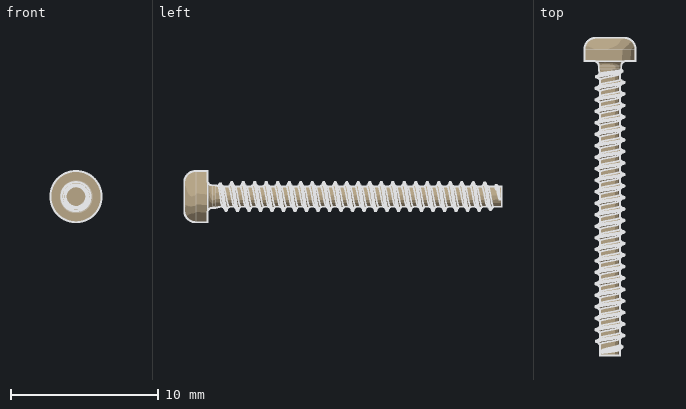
import cadquery as cq
import math

total_length = 21.6
head_diameter = 3.5
head_height = 1.6
head_edge_radius = head_height / 2
shank_length = total_length - head_height

core_radius = 0.7
neck_radius = 0.78
flare = 0.3
neck_depth = 0.52
core_start_depth = 0.9

thread_radius = 1.0
first_full_depth = 1.45
full_turns = 22
full_thread_length = 17.2
pitch = full_thread_length / full_turns
runout_turns = 1.6
crest_half_width = 0.02
waist_radius = 0.85
waist_half_width = 0.06
foot_half_width = 0.25
foot_sink = 0.05
foot_radius = core_radius - foot_sink
end_height_ratio = 0.06
points_per_turn = 12
full_stretches = 4


def make_head():
    head = cq.Workplane("XZ").circle(head_diameter / 2).extrude(-head_height)
    return head.faces(">Y").edges().fillet(head_edge_radius)


def make_shank():
    """Revolve the shank half-section about Y, from inside the head to the flat tip."""
    return (
        cq.Workplane("XY")
        .moveTo(0, head_height / 2)
        .lineTo(neck_radius, head_height / 2)
        .lineTo(neck_radius, 0)
        .lineTo(neck_radius + flare, 0)
        .radiusArc((neck_radius, -flare), -flare)
        .lineTo(neck_radius, -neck_depth)
        .lineTo(core_radius, -core_start_depth)
        .lineTo(core_radius, -shank_length)
        .lineTo(0, -shank_length)
        .close()
        .revolve(360, (0, 0, 0), (0, 1, 0))
    )


def helix_point(turn, radius, offset):
    """Point on the thread; outside the full turns its height falls off quadratically."""
    overrun = max(-turn, turn - full_turns, 0)
    height_ratio = 1 - (1 - end_height_ratio) * (overrun / runout_turns) ** 2
    local_radius = foot_radius + (radius - foot_radius) * height_ratio
    angle = 2 * math.pi * turn
    depth = first_full_depth + pitch * turn + offset
    return cq.Vector(local_radius * math.cos(angle), -depth, local_radius * math.sin(angle))


def make_thread_length(first_turn, last_turn):
    """Join helical edges, one per corner of the thread section, into a closed ridge."""
    section = [
        (foot_radius, -foot_half_width),
        (waist_radius, -waist_half_width),
        (thread_radius, -crest_half_width),
        (thread_radius, crest_half_width),
        (waist_radius, waist_half_width),
        (foot_radius, foot_half_width),
    ]
    steps = round((last_turn - first_turn) * points_per_turn)
    turns = [first_turn + (last_turn - first_turn) * i / steps for i in range(steps + 1)]

    edges = []
    for radius, offset in section:
        edges.append(cq.Edge.makeSpline([helix_point(t, radius, offset) for t in turns]))

    faces = []
    for i, edge in enumerate(edges):
        faces.append(cq.Face.makeRuledSurface(edges[i - 1], edge))
    for turn in (first_turn, last_turn):
        corners = [helix_point(turn, radius, offset) for radius, offset in section]
        faces.append(cq.Face.makeFromWires(cq.Wire.makePolygon(corners, close=True)))

    ridge = cq.Solid.makeSolid(cq.Shell.makeShell(faces))
    return cq.Workplane(ridge.fix())


def add_thread(screw):
    """Fuse the thread on in lengths: run-in, equal stretches of full thread, run-out.

    The run-out reaches past the tip, so the thread is kept within the shank length.
    """
    envelope = cq.Workplane("XZ").circle(head_diameter / 2).extrude(shank_length)
    stretch = full_turns / full_stretches
    breaks = [-runout_turns]
    breaks += [i * stretch for i in range(full_stretches + 1)]
    breaks.append(full_turns + runout_turns)
    for first_turn, last_turn in zip(breaks, breaks[1:]):
        screw = screw.union(make_thread_length(first_turn, last_turn).intersect(envelope))
    return screw


result = add_thread(make_head().union(make_shank()))